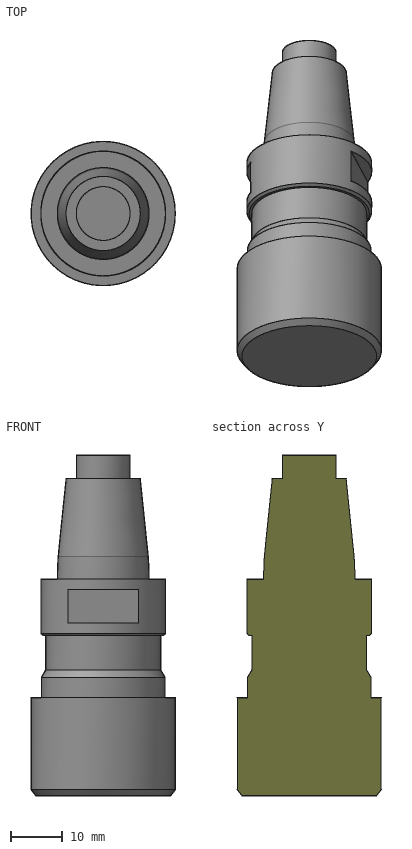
import cadquery as cq

total_height = 66.0
base_chamfer_top = 1.2
base_top = 19.0
collar_top = 23.0
groove_bottom = 24.4
groove_top = 31.0
flange_bottom = 31.5
flange_top = 42.0
taper_bottom = 46.4
taper_top = 61.5

base_radius = 28.0 / 2
base_chamfer_width = 0.9
collar_radius = 24.0 / 2
groove_radius = 22.3 / 2
flange_radius = 24.2 / 2
flange_chamfer_width = 0.45
neck_radius = 17.8 / 2
taper_bottom_radius = 17.5 / 2
taper_top_radius = 14.4 / 2
pin_radius = 10.4 / 2

flat_spacing = 20.0
flat_bottom = 33.5
flat_top = 40.0

neck_bulge = (neck_radius - taper_bottom_radius) / 4


def turned_body():
    """Revolve the half profile about Z; the neck is an arc that turns vertical at its foot."""
    return (
        cq.Workplane("XZ")
        .lineTo(base_radius - base_chamfer_width, 0)
        .lineTo(base_radius, base_chamfer_top)
        .lineTo(base_radius, base_top)
        .lineTo(collar_radius, base_top)
        .lineTo(collar_radius, collar_top)
        .lineTo(groove_radius, groove_bottom)
        .lineTo(groove_radius, groove_top)
        .lineTo(flange_radius - flange_chamfer_width, groove_top)
        .lineTo(flange_radius, flange_bottom)
        .lineTo(flange_radius, flange_top)
        .lineTo(neck_radius, flange_top)
        .sagittaArc((taper_bottom_radius, taper_bottom), -neck_bulge)
        .lineTo(taper_top_radius, taper_top)
        .lineTo(pin_radius, taper_top)
        .lineTo(pin_radius, total_height)
        .lineTo(0, total_height)
        .close()
        .revolve(360, (0, 0, 0), (0, 1, 0))
    )


def flat_cutter(side):
    """Block that removes the flange material outside one flat; side is -1 or +1 along Y."""
    flat_height = flat_top - flat_bottom
    cutter_depth = flange_radius
    return (
        cq.Workplane("XY")
        .box(2 * flange_radius, cutter_depth, flat_height)
        .translate((0, side * (flat_spacing + cutter_depth) / 2, (flat_bottom + flat_top) / 2))
    )


result = turned_body()
for side in (-1, 1):
    result = result.cut(flat_cutter(side))